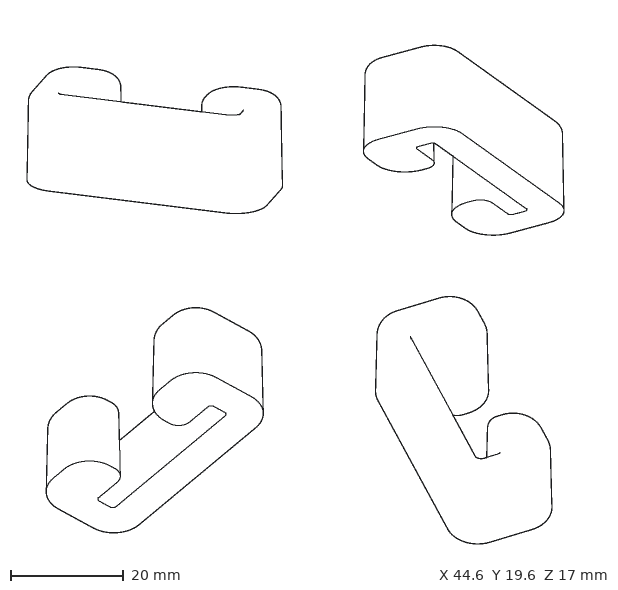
import cadquery as cq

length = 44.6
width = 19.58
height = 17.0

wall = 6.2
slot_gap = 3.9
hook_reach = 14.63
corner_radius = 5.8
tip_radius = 2.6
slot_radius = 0.7

draft_angle = 1.0
top_fillet = 2.0

half_length = length / 2
half_width = width / 2
slot_end_x = half_length - wall
hook_tip_x = half_length - hook_reach
slot_front_y = wall - half_width
slot_back_y = slot_front_y + slot_gap


def clip_outline():
    """Closed C-shaped base outline with all its corners rounded."""
    right_corners = [
        (half_length, -half_width, corner_radius),
        (half_length, half_width, corner_radius),
        (hook_tip_x, half_width, corner_radius),
        (hook_tip_x, slot_back_y, tip_radius),
        (slot_end_x, slot_back_y, slot_radius),
        (slot_end_x, slot_front_y, slot_radius),
    ]
    left_corners = [(-x, y, radius) for x, y, radius in reversed(right_corners)]
    corners = right_corners + left_corners
    vertices = [cq.Vector(x, y) for x, y, radius in corners]
    outline = cq.Wire.makePolygon(vertices, close=True)
    for x, y, radius in corners:
        corner = min(outline.Vertices(), key=lambda v: (v.Center() - cq.Vector(x, y)).Length)
        outline = outline.fillet2D(radius, [corner])
    return outline


def make_clip():
    """Drafted C-shaped clip with a rounded top rim."""
    body = cq.Workplane("XY").add(clip_outline()).toPending().extrude(height, taper=draft_angle)
    return body.faces(">Z").edges().fillet(top_fillet)


clip = make_clip()

result = cq.Compound.makeCompound([clip.val()])